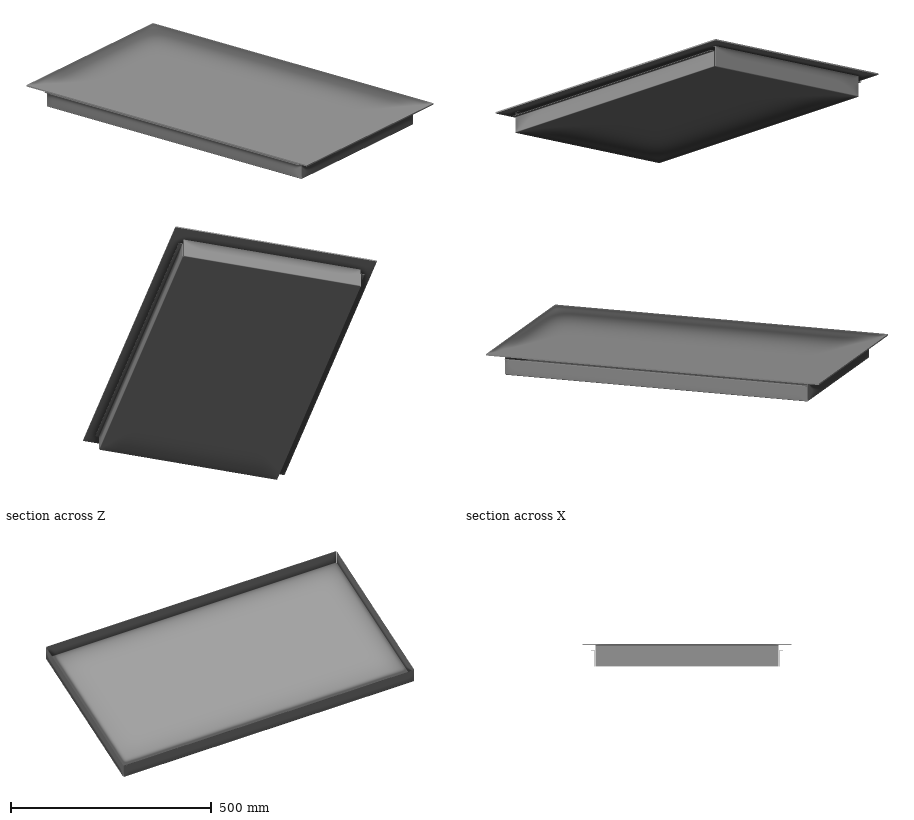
import cadquery as cq
import math

plate_length = 880.0
plate_width = 520.0
plate_thickness = 3.5
total_height = 57.0
plate_bottom = total_height - plate_thickness

sheet = 1.0
bend_radius = 1.5
tray_length = 800.0
tray_width = 460.0
flange_outer_width = 480.0
flange_top = 41.0
lip_reach = (flange_outer_width - tray_width) / 2

bend_outer_radius = bend_radius + sheet / 2
floor_length = tray_length - 2 * bend_outer_radius
floor_width = tray_width - 2 * bend_outer_radius


def block(length, width, height, z):
    """Box centred on the Z axis with its underside at height z."""
    return cq.Workplane("XY").box(length, width, height, centered=(True, True, False)).translate((0, 0, z))


def make_cover_plate():
    return block(plate_length, plate_width, plate_thickness, plate_bottom)


def make_folded_wall(tray_span, wall_length, top, lip_direction):
    """Wall on the +X side, bent up from the floor and folded at the top.

    lip_direction is +1 for an outward lip and -1 for an inward lip.
    """
    wall_x = (tray_span - sheet) / 2
    low_z = sheet / 2
    high_z = top - sheet / 2
    diagonal = bend_radius * math.sqrt(0.5)
    floor_edge_x = wall_x - bend_radius
    upper_centre_x = wall_x + lip_direction * bend_radius
    lip_end_x = tray_span / 2 + lip_direction * lip_reach
    path = (
        cq.Workplane("XZ")
        .moveTo(floor_edge_x, low_z)
        .threePointArc(
            (floor_edge_x + diagonal, low_z + bend_radius - diagonal),
            (wall_x, low_z + bend_radius),
        )
        .lineTo(wall_x, high_z - bend_radius)
        .threePointArc(
            (upper_centre_x - lip_direction * diagonal, high_z - bend_radius + diagonal),
            (upper_centre_x, high_z),
        )
        .lineTo(lip_end_x, high_z)
    )
    section = cq.Workplane("YZ", origin=(floor_edge_x, 0, low_z)).rect(wall_length, sheet)
    return section.sweep(path)


def make_tray():
    tray = block(floor_length, floor_width, sheet, 0)
    end_wall = make_folded_wall(tray_length, floor_width, plate_bottom, -1)
    side_wall = make_folded_wall(tray_width, floor_length, flange_top, 1)
    for wall, first_angle in ((end_wall, 0), (side_wall, 90)):
        for turn in (0, 180):
            tray = tray.union(wall.rotate((0, 0, 0), (0, 0, 1), first_angle + turn))
    return tray


cover_plate = make_cover_plate()
tray = make_tray()
result = cq.Compound.makeCompound([cover_plate.val(), *tray.solids().vals()])